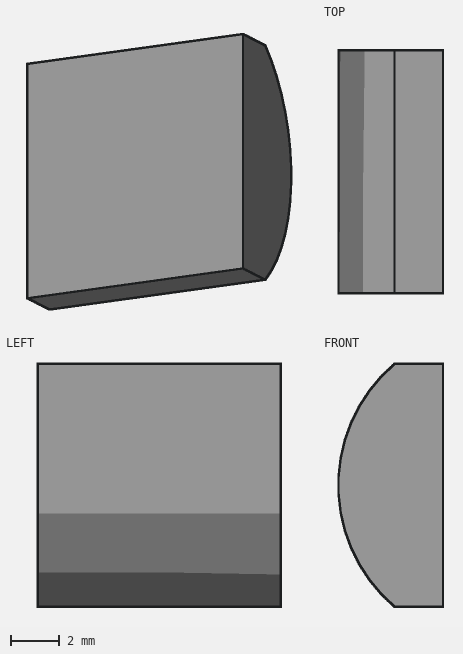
import cadquery as cq

height = 10.0
length = 10.0
center_thickness = 4.31
edge_thickness = 1.99

crown_x = 0.0
back_x = crown_x + center_thickness
edge_x = back_x - edge_thickness
half_height = height / 2

result = (
    cq.Workplane("XZ")
    .moveTo(back_x, -half_height)
    .lineTo(back_x, half_height)
    .lineTo(edge_x, half_height)
    .threePointArc((crown_x, 0), (edge_x, -half_height))
    .close()
    .extrude(length / 2, both=True)
)